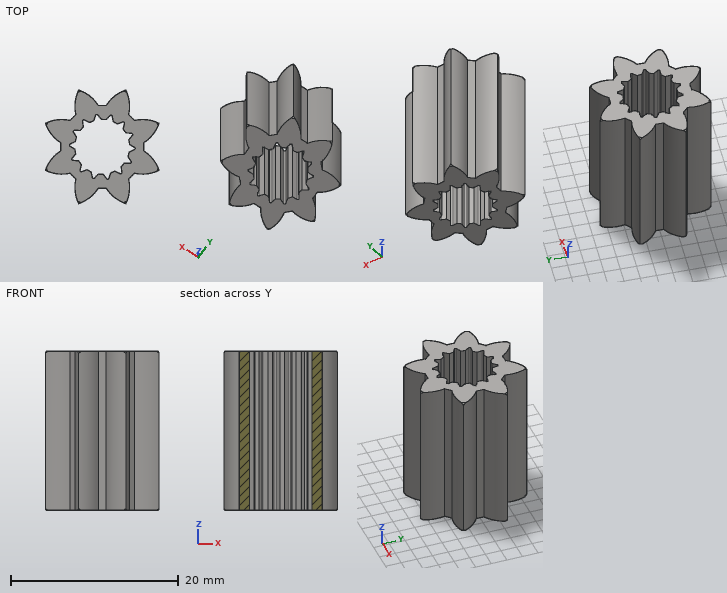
import cadquery as cq
import math

length = 19.05
width = 13.62

tooth_count = 8
tooth_pitch = 360 / tooth_count
tip_radius = width / 2 / math.cos(math.radians(tooth_pitch / 2))
root_radius = 5.0
root_half_angle = 5.5
flank_mid_radius = 6.3
flank_mid_angle = 14.0
tip_chamfer = 0.23

spline_count = 14
spline_pitch = 360 / spline_count
bore_radius = 3.28
groove_radius = 3.92
groove_phase = -3.0
groove_mouth_half_angle = spline_pitch / 2 - 5.0
groove_shoulder_radius = 3.81
groove_shoulder_half_angle = 2.2


def polar(radius, angle):
    """Point at the given radius and angle in degrees."""
    return (radius * math.cos(math.radians(angle)), radius * math.sin(math.radians(angle)))


def toothed_body():
    """Prism with pointed teeth, curved flanks and flat roots."""
    outline = cq.Workplane("XY").moveTo(*polar(root_radius, -root_half_angle))
    for tooth in range(tooth_count):
        gap = tooth * tooth_pitch
        next_gap = gap + tooth_pitch
        outline = outline.lineTo(*polar(root_radius, gap + root_half_angle))
        outline = outline.threePointArc(
            polar(flank_mid_radius, gap + flank_mid_angle),
            polar(tip_radius, gap + tooth_pitch / 2),
        )
        outline = outline.threePointArc(
            polar(flank_mid_radius, next_gap - flank_mid_angle),
            polar(root_radius, next_gap - root_half_angle),
        )
    return outline.close().extrude(length)


def chamfer_envelope():
    """Cylinder with conical ends that bevels the tooth tips."""
    return cq.Workplane("XY").circle(tip_radius).extrude(length).edges().chamfer(tip_chamfer)


def splined_bore():
    """Through bore with rounded spline grooves and flat lands between them."""
    start = groove_phase - groove_mouth_half_angle
    outline = cq.Workplane("XY").moveTo(*polar(bore_radius, start))
    for groove in range(spline_count):
        center = groove_phase + groove * spline_pitch
        next_center = center + spline_pitch
        outline = outline.lineTo(*polar(groove_shoulder_radius, center - groove_shoulder_half_angle))
        outline = outline.threePointArc(
            polar(groove_radius, center),
            polar(groove_shoulder_radius, center + groove_shoulder_half_angle),
        )
        outline = outline.lineTo(*polar(bore_radius, center + groove_mouth_half_angle))
        if groove < spline_count - 1:
            outline = outline.lineTo(*polar(bore_radius, next_center - groove_mouth_half_angle))
    return outline.close().extrude(length)


result = toothed_body().intersect(chamfer_envelope()).cut(splined_bore())